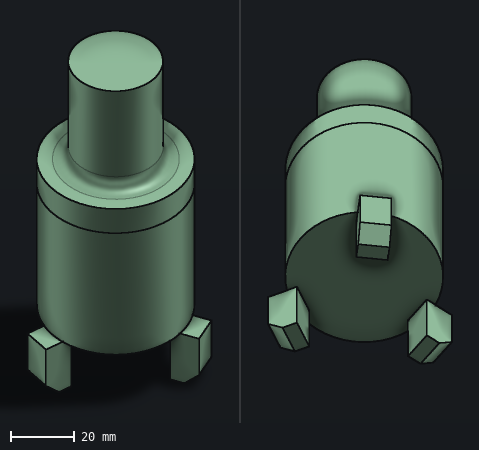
import cadquery as cq

total_height = 120.1
jaw_height = 20.0
barrel_height = 50.0
flange_height = 10.0
flange_base_z = jaw_height + barrel_height
flange_top_z = flange_base_z + flange_height

barrel_diameter = 50.0
shaft_diameter = 30.0
shaft_fillet = 5.0

jaw_count = 3
jaw_width = 10.0
jaw_depth = 10.0
jaw_outer_radius = 31.0
jaw_inner_radius = jaw_outer_radius - jaw_depth
jaw_chamfer = 5.0
first_jaw_angle = -90.0


def make_jaw(angle):
    """One jaw under the barrel, its outer tip chamfered, turned to the given angle."""
    profile = (
        cq.Workplane("XZ")
        .moveTo(jaw_inner_radius, 0)
        .lineTo(jaw_outer_radius - jaw_chamfer, 0)
        .lineTo(jaw_outer_radius, jaw_chamfer)
        .lineTo(jaw_outer_radius, jaw_height)
        .lineTo(jaw_inner_radius, jaw_height)
        .close()
    )
    jaw = profile.extrude(jaw_width / 2, both=True)
    return jaw.rotate((0, 0, 0), (0, 0, 1), angle)


def make_chuck():
    """Cylindrical barrel with equally spaced jaws on its lower face."""
    chuck = cq.Workplane("XY").workplane(offset=jaw_height).circle(barrel_diameter / 2).extrude(barrel_height)
    for index in range(jaw_count):
        chuck = chuck.union(make_jaw(first_jaw_angle + index * 360.0 / jaw_count))
    return chuck


def make_shank():
    """Flange resting on the barrel, with a shaft that flares into it through a fillet."""
    shaft_radius = shaft_diameter / 2
    flange_radius = barrel_diameter / 2
    profile = (
        cq.Workplane("XZ")
        .moveTo(0, flange_base_z)
        .lineTo(flange_radius, flange_base_z)
        .lineTo(flange_radius, flange_top_z)
        .lineTo(shaft_radius + shaft_fillet, flange_top_z)
        .radiusArc((shaft_radius, flange_top_z + shaft_fillet), shaft_fillet)
        .lineTo(shaft_radius, total_height)
        .lineTo(0, total_height)
        .close()
    )
    return profile.revolve(360, (0, 0, 0), (0, 1, 0))


chuck = make_chuck()
shank = make_shank()

result = cq.Compound.makeCompound([chuck.solids().val(), shank.val()])